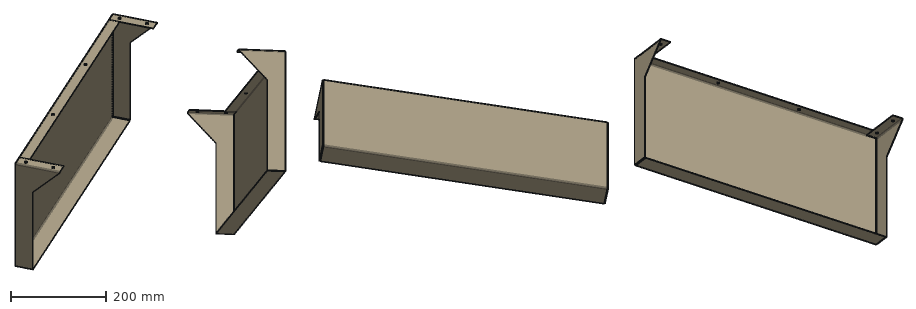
import cadquery as cq

depth = 100.5
length = 609.5
height = 260.0

sheet = 2.0
bend_inner = 1.0
bend_outer = bend_inner + sheet

tray_length = length - 2 * bend_outer
top_flange_depth = 25.0
bottom_flange_depth = 40.0

bracket_front = sheet
bracket_base = sheet
flange_width = 25.5
ear_drop = 64.5

hole_diameter = 6.0
tray_hole_x = 13.0
tray_hole_spacing = length / 3
bracket_hole_xs = (21.0, 81.5)
bracket_hole_y = length / 2 - flange_width / 2


def vertical_holes(points):
    """Cutters through the top flanges only."""
    return (
        cq.Workplane("XY", origin=(0, 0, height - 4 * sheet))
        .pushPoints(points)
        .circle(hole_diameter / 2)
        .extrude(5 * sheet)
    )


def cut_corner(channel, side):
    """Replace the bend and top flange over one bracket by a straight panel edge."""
    notch_y = side * bracket_hole_y
    bend_zone = cq.Workplane("XY", origin=(0, notch_y, height - bend_outer)).box(
        top_flange_depth, flange_width, bend_outer, centered=(False, True, False)
    )
    edge_width = flange_width - (length - tray_length) / 2
    edge_y = side * (tray_length - edge_width) / 2
    panel_edge = cq.Workplane("XY", origin=(0, edge_y, height - bend_outer)).box(
        sheet, edge_width, bend_outer - sheet, centered=(False, True, False)
    )
    return channel.cut(bend_zone).union(panel_edge)


def make_tray():
    """C-shaped channel, notched at the top corners to let the bracket flanges in."""
    profile = (
        cq.Workplane("XZ", origin=(0, tray_length / 2, 0))
        .moveTo(bottom_flange_depth, 0)
        .lineTo(bend_outer, 0)
        .radiusArc((0, bend_outer), bend_outer)
        .lineTo(0, height - bend_outer)
        .radiusArc((bend_outer, height), bend_outer)
        .lineTo(top_flange_depth, height)
        .lineTo(top_flange_depth, height - sheet)
        .lineTo(bend_outer, height - sheet)
        .radiusArc((sheet, height - bend_outer), -bend_inner)
        .lineTo(sheet, bend_outer)
        .radiusArc((bend_outer, sheet), -bend_inner)
        .lineTo(bottom_flange_depth, sheet)
        .close()
    )
    channel = profile.extrude(tray_length)
    for side in (-1, 1):
        channel = cut_corner(channel, side)
    holes = [(tray_hole_x, side * tray_hole_spacing / 2) for side in (-1, 1)]
    return channel.cut(vertical_holes(holes))


def make_bracket(side):
    """Bracket at the -Y end (side = -1) or its mirror image at the +Y end (side = 1)."""
    outer_y = -length / 2
    angle = (
        cq.Workplane("YZ", origin=(bracket_front, 0, 0))
        .moveTo(outer_y, bracket_base)
        .lineTo(outer_y, height - bend_outer)
        .radiusArc((outer_y + bend_outer, height), bend_outer)
        .lineTo(outer_y + flange_width, height)
        .lineTo(outer_y + flange_width, height - sheet)
        .lineTo(outer_y + bend_outer, height - sheet)
        .radiusArc((outer_y + sheet, height - bend_outer), -bend_inner)
        .lineTo(outer_y + sheet, bracket_base)
        .close()
        .extrude(depth - bracket_front)
    )
    below_ear = (
        cq.Workplane("XZ", origin=(0, length / 2, 0))
        .moveTo(depth, height - bend_outer)
        .lineTo(bottom_flange_depth, height - ear_drop)
        .lineTo(bottom_flange_depth, 0)
        .lineTo(depth, 0)
        .close()
        .extrude(length)
    )
    holes = vertical_holes([(x, -bracket_hole_y) for x in bracket_hole_xs])
    bracket = angle.cut(below_ear).cut(holes)
    return bracket if side < 0 else bracket.mirror("XZ")


tray = make_tray()
brackets = [make_bracket(side) for side in (-1, 1)]

result = cq.Compound.makeCompound([tray.val(), *[bracket.val() for bracket in brackets]])